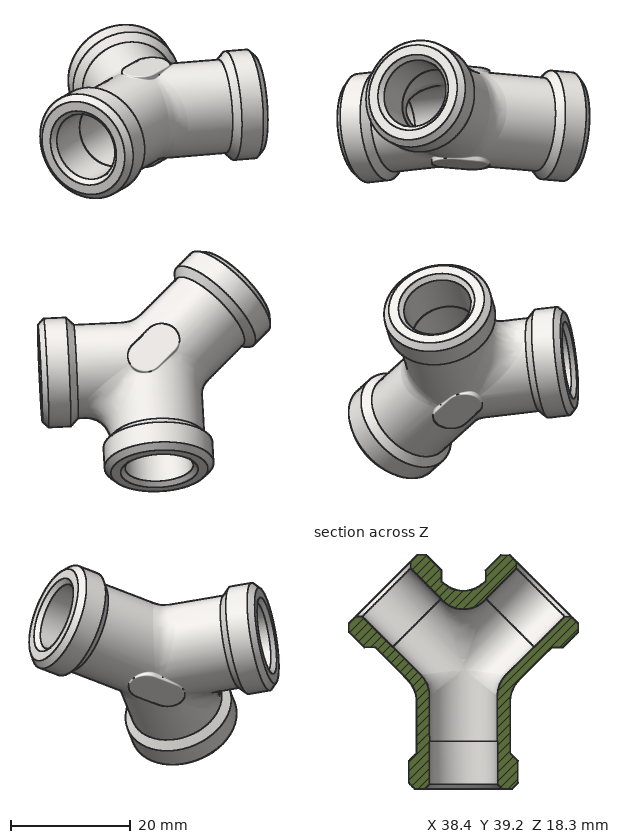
import cadquery as cq

STEM_LENGTH = 20.0
BRANCH_LENGTH = 19.0
BRANCH_ANGLE = 45.0
PORTS = [
    (180.0, STEM_LENGTH),
    (BRANCH_ANGLE, BRANCH_LENGTH),
    (-BRANCH_ANGLE, BRANCH_LENGTH),
]

TUBE_RADIUS = 15.7 / 2
COLLAR_RADIUS = 18.3 / 2
COLLAR_LENGTH = 6.0
COLLAR_SLOPE_LENGTH = COLLAR_RADIUS - TUBE_RADIUS
COLLAR_CHAMFER = 1.0
CROTCH_FILLET = 4.98

BORE_RADIUS = 11.3 / 2
SOCKET_RADIUS = 11.4 / 2
SOCKET_DEPTH = 8.0
MOUTH_CHAMFER = 0.8

PAD_LENGTH = 10.0
PAD_WIDTH = 6.0
PAD_HEIGHT = 8.15
PAD_ROOT_HEIGHT = (BORE_RADIUS + TUBE_RADIUS) / 2
PAD_TOP_FILLET = 0.2
PAD_BASE_FILLET = 0.15

POLE_TRIM = 0.08


def turn_to_port(body, angle):
    """Turn a body built along +Y towards the port at the given angle."""
    return body.rotate((0, 0, 0), (0, 0, 1), angle)


def revolve_about_y(profile):
    """Revolve a closed outline of (radius, distance along Y) points about the Y axis."""
    return cq.Workplane("XY").polyline(profile).close().revolve(360, (0, 0, 0), (0, 1, 0))


def blended_wye(radius):
    """Equal cylinders from the origin to every port, with their elliptical seams filleted."""
    sharp = cq.Workplane("XY")
    for angle, length in PORTS:
        leg = cq.Workplane("XZ").circle(radius).extrude(-length)
        leg = leg.rotate((0, 0, 0), (0, 1, 0), 90)
        sharp = sharp.add(turn_to_port(leg, angle))
    sharp = sharp.combine()

    span = 4 * STEM_LENGTH
    slab = cq.Workplane("XY").box(span, span, 2 * (radius - POLE_TRIM))
    trimmed = sharp.intersect(slab)
    seams = [edge for edge in trimmed.edges().vals() if edge.geomType() == "ELLIPSE"]
    return trimmed.newObject(seams).fillet(CROTCH_FILLET).union(sharp)


def collar(length):
    """Thicker port end: sloped shoulder, plain band and chamfered rim."""
    back = length - COLLAR_LENGTH
    return revolve_about_y([
        (0, back),
        (TUBE_RADIUS, back),
        (COLLAR_RADIUS, back + COLLAR_SLOPE_LENGTH),
        (COLLAR_RADIUS, length - COLLAR_CHAMFER),
        (COLLAR_RADIUS - COLLAR_CHAMFER, length),
        (0, length),
    ])


def socket(length):
    """Space removed at a port: shallow counterbore with a chamfered mouth."""
    return revolve_about_y([
        (0, length - SOCKET_DEPTH),
        (SOCKET_RADIUS, length - SOCKET_DEPTH),
        (SOCKET_RADIUS, length - MOUTH_CHAMFER),
        (SOCKET_RADIUS + MOUTH_CHAMFER, length),
        (0, length),
    ])


def pad(side):
    """Oblong pad on the top (side = 1) or bottom (side = -1), rising from inside the wall."""
    return (
        cq.Workplane("XY").workplane(offset=side * PAD_ROOT_HEIGHT)
        .slot2D(PAD_LENGTH, PAD_WIDTH, 90)
        .extrude(side * (PAD_HEIGHT - PAD_ROOT_HEIGHT))
    )


def pad_base_edges(body):
    """Edges where the pad walls meet the tubes: on the pad outline, between pad root and face."""
    margin = PAD_TOP_FILLET / 4
    found = []
    for edge in body.edges().vals():
        box = edge.BoundingBox()
        within_outline = (
            max(-box.xmin, box.xmax) < PAD_WIDTH / 2 + margin
            and max(-box.ymin, box.ymax) < PAD_LENGTH / 2 + margin
        )
        above_root = max(box.zmin, -box.zmax) > PAD_ROOT_HEIGHT
        below_face = max(-box.zmin, box.zmax) < PAD_HEIGHT - margin
        if within_outline and above_root and below_face:
            found.append(edge)
    return found


body = blended_wye(TUBE_RADIUS)
for angle, length in PORTS:
    body = body.union(turn_to_port(collar(length), angle))

body = body.cut(blended_wye(BORE_RADIUS))
for angle, length in PORTS:
    body = body.cut(turn_to_port(socket(length), angle))

for side in (1, -1):
    rim = ">Z" if side == 1 else "<Z"
    raised = pad(side).faces(rim).edges().fillet(PAD_TOP_FILLET)
    body = body.union(raised)
body = body.newObject(pad_base_edges(body)).fillet(PAD_BASE_FILLET)

result = body